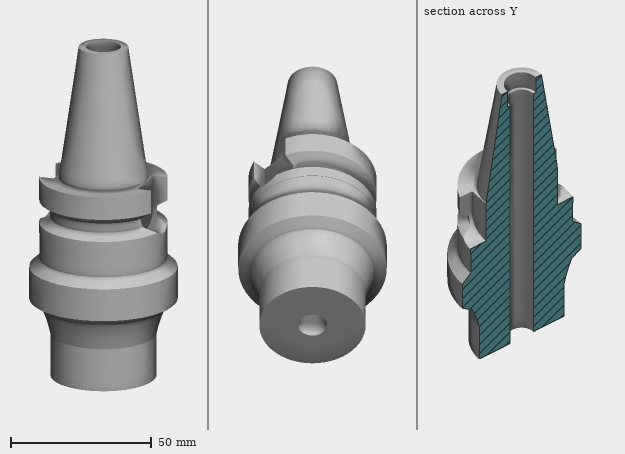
import cadquery as cq

total_height = 123.4

nose_radius = 19.0
nose_top = 15.9
flare_radius = 22.3
flare_top = 26.2
flare_mid_radius = 20.4
flare_mid_height = (nose_top + flare_top) / 2

collar_radius = 26.5
collar_bottom = 28.9
collar_top = 40.8
collar_chamfer_top = 44.2

neck_radius = 22.8
neck_top = 53.1
flange_radius = 23.0
flange_top = 74.3
groove_radius = 19.1
groove_lower_edge = 57.5
groove_floor_bottom = 59.7
groove_floor_top = 63.2
groove_upper_edge = 65.8

gauge_radius = 15.9
gauge_height = 75.0
taper_ratio = 7 / 24
taper_tip_radius = gauge_radius - (total_height - gauge_height) * taper_ratio / 2

bore_radius = 5.2
counterbore_radius = 6.3
counterbore_depth = 7.4

slot_width = 16.0
slot_floor_offset = 16.0
slot_bottom = 56.0


def make_body():
    """Revolved outer shape, solid through the axis."""
    return (
        cq.Workplane("XZ")
        .lineTo(nose_radius, 0)
        .lineTo(nose_radius, nose_top)
        .threePointArc((flare_mid_radius, flare_mid_height), (flare_radius, flare_top))
        .lineTo(collar_radius, collar_bottom)
        .lineTo(collar_radius, collar_top)
        .lineTo(neck_radius, collar_chamfer_top)
        .lineTo(neck_radius, neck_top)
        .lineTo(flange_radius, neck_top)
        .lineTo(flange_radius, groove_lower_edge)
        .lineTo(groove_radius, groove_floor_bottom)
        .lineTo(groove_radius, groove_floor_top)
        .lineTo(flange_radius, groove_upper_edge)
        .lineTo(flange_radius, flange_top)
        .lineTo(gauge_radius, flange_top)
        .lineTo(gauge_radius, gauge_height)
        .lineTo(taper_tip_radius, total_height)
        .lineTo(0, total_height)
        .close()
        .revolve(360, (0, 0), (0, 1))
    )


def make_bore():
    """Through bore with a wider counterbore at the taper tip."""
    through = cq.Workplane("XY").circle(bore_radius).extrude(total_height)
    counterbore = (
        cq.Workplane("XY", origin=(0, 0, total_height))
        .circle(counterbore_radius)
        .extrude(-counterbore_depth)
    )
    return through.union(counterbore)


def make_drive_slot(side):
    """Round-bottomed slot, open at the flange top; side is -1 or +1 along X."""
    half_width = slot_width / 2
    arc_height = slot_bottom + half_width
    return (
        cq.Workplane("YZ", origin=(side * slot_floor_offset, 0, 0))
        .moveTo(-half_width, flange_top)
        .lineTo(-half_width, arc_height)
        .threePointArc((0, slot_bottom), (half_width, arc_height))
        .lineTo(half_width, flange_top)
        .close()
        .extrude(side * (collar_radius - slot_floor_offset))
    )


result = make_body().cut(make_bore())
for side in (-1, 1):
    result = result.cut(make_drive_slot(side))